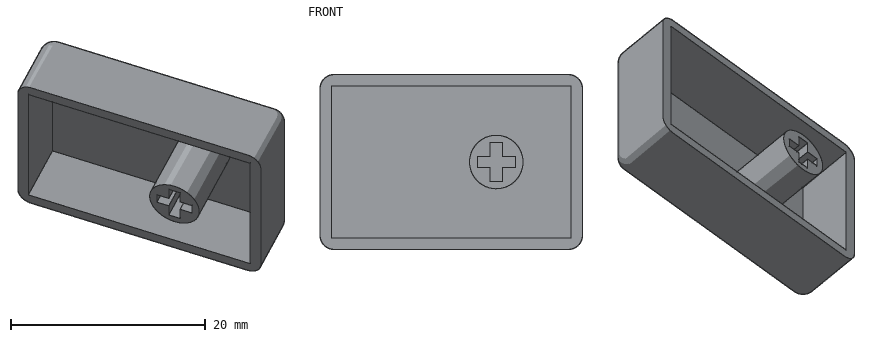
import cadquery as cq
import math


WIDTH = 27.0
HEIGHT = 18.0
OVERALL_DEPTH = 9.4
STEM_PROTRUSION = 1.75
CAP_DEPTH = OVERALL_DEPTH - STEM_PROTRUSION
EDGE_RADIUS = 1.5
SIDE_WALL = 1.175
CAVITY_DEPTH = 6.5

DISH_DEPTH = 0.53
DISH_RADIUS = 44.0

STEM_X = 4.625
STEM_DIAMETER = 5.5
STEM_LENGTH = CAVITY_DEPTH + STEM_PROTRUSION
CROSS_WIDTH = 3.9
CROSS_HEIGHT = 4.0
UPRIGHT_THICKNESS = 1.25
CROSSBAR_THICKNESS = 1.15


def block_along_y(width, height, y_start, y_end, x_center=0.0):
    """Box centred on Z = 0 that runs from y_start to y_end."""
    length = y_end - y_start
    box = cq.Workplane("XY").box(width, length, height)
    return box.translate((x_center, y_start + length / 2, 0))


def make_cap():
    """Solid cap with rounded corners and a rounded top edge."""
    cap = block_along_y(WIDTH, HEIGHT, 0, CAP_DEPTH)
    return cap.edges("|Y or >Y").fillet(EDGE_RADIUS)


def make_dish():
    """Shallow circular trough that runs the full width along X."""
    bottom_y = CAP_DEPTH - DISH_DEPTH
    half_chord = math.sqrt(DISH_RADIUS**2 - (DISH_RADIUS - DISH_DEPTH) ** 2)
    return (
        cq.Workplane("YZ")
        .moveTo(CAP_DEPTH, -half_chord)
        .threePointArc((bottom_y, 0), (CAP_DEPTH, half_chord))
        .close()
        .extrude(WIDTH / 2, both=True)
    )


def make_cavity():
    """Rectangular hollow, open at the rim."""
    return block_along_y(WIDTH - 2 * SIDE_WALL, HEIGHT - 2 * SIDE_WALL, 0, CAVITY_DEPTH)


def make_stem():
    """Round stem rising from the cavity floor, with its socket cut to the floor."""
    stem = (
        cq.Workplane("XZ", origin=(STEM_X, CAVITY_DEPTH, 0))
        .circle(STEM_DIAMETER / 2)
        .extrude(STEM_LENGTH)
    )
    cross_arms = (
        (CROSS_WIDTH, CROSSBAR_THICKNESS),
        (UPRIGHT_THICKNESS, CROSS_HEIGHT),
    )
    for width, height in cross_arms:
        stem = stem.cut(block_along_y(width, height, -STEM_PROTRUSION, CAVITY_DEPTH, STEM_X))
    return stem


result = make_cap().cut(make_dish()).cut(make_cavity()).union(make_stem())